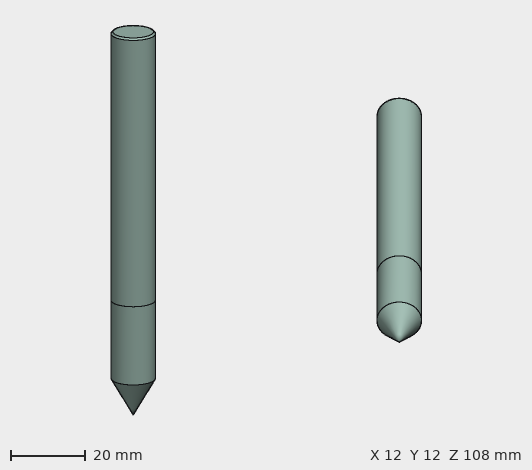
import cadquery as cq
import math

total_length = 108.0
diameter = 12.0
tip_cylinder_length = 22.0
cone_angle = 60.0
end_chamfer = 0.5

radius = diameter / 2
cone_height = radius / math.tan(math.radians(cone_angle / 2))
joint_z = cone_height + tip_cylinder_length


def make_shank():
    """Round bar from the joint up to its chamfered free end."""
    return (
        cq.Workplane("XY")
        .workplane(offset=joint_z)
        .circle(radius)
        .extrude(total_length - joint_z)
        .faces(">Z")
        .chamfer(end_chamfer)
    )


def make_tip():
    """Cylinder ending in a sharp conical point at the origin."""
    profile = (
        cq.Workplane("XZ")
        .moveTo(0, 0)
        .lineTo(radius, cone_height)
        .lineTo(radius, joint_z)
        .lineTo(0, joint_z)
        .close()
    )
    return profile.revolve(360, (0, 0), (0, 1))


shank = make_shank()
tip = make_tip()

result = cq.Compound.makeCompound([shank.val(), tip.val()])